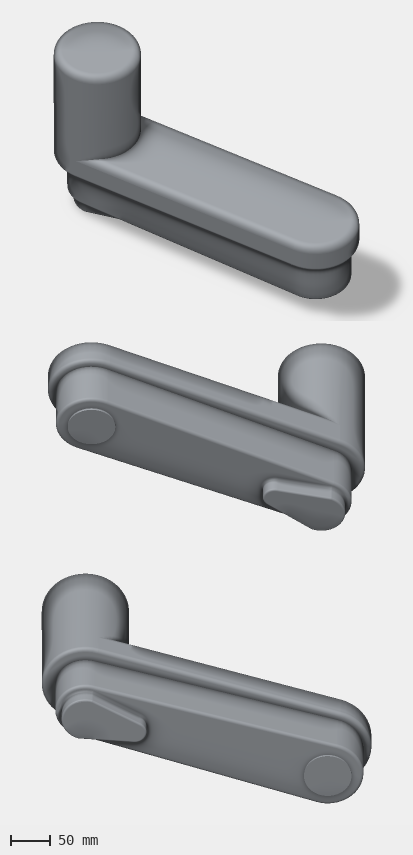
import cadquery as cq
import math

arm_reach = 320.0

cover_radius = 55.0
cover_bottom = 80.0
hood_top = 120.0
column_top = 260.0
cover_top_round = 10.0
cover_bottom_round = 5.0

arm_bottom = 20.0
arm_column_radius = 38.0
cover_overhang = 10.0
arm_far_radius = cover_radius - cover_overhang
arm_bottom_round = 4.0

foot_radius = 30.0
foot_tip_radius = 15.0
foot_tip_x = 65.0
foot_bottom_round = 2.5
foot_root_round = 3.0
foot_corner_round = 1.0

pad_radius = 30.0
pad_height = 3.0

select_margin = 0.1


def box_around(low_corner, high_corner):
    """Selector for the edges that lie wholly between two corners, with a little slack."""
    low = tuple(value - select_margin for value in low_corner)
    high = tuple(value + select_margin for value in high_corner)
    return cq.selectors.BoxSelector(low, high, boundingbox=True)


def tapered_slot(near_radius, far_x, far_radius, bottom, height):
    """Prism with a half circle at the origin and straight sides tangent to a round tip at far_x."""
    corner_angle = math.atan2(near_radius, -far_x)
    corner_distance = math.hypot(near_radius, far_x)
    touch_angle = corner_angle - math.acos(far_radius / corner_distance)
    touch_x = far_x + far_radius * math.cos(touch_angle)
    touch_y = far_radius * math.sin(touch_angle)
    return (
        cq.Workplane("XY")
        .workplane(offset=bottom)
        .moveTo(0, near_radius)
        .threePointArc((-near_radius, 0), (0, -near_radius))
        .lineTo(touch_x, -touch_y)
        .threePointArc((far_x + far_radius, 0), (touch_x, touch_y))
        .close()
        .extrude(height)
    )


def make_cover():
    hood = (
        cq.Workplane("XY")
        .workplane(offset=cover_bottom)
        .moveTo(0, -cover_radius)
        .lineTo(arm_reach, -cover_radius)
        .threePointArc((arm_reach + cover_radius, 0), (arm_reach, cover_radius))
        .lineTo(0, cover_radius)
        .close()
        .extrude(hood_top - cover_bottom)
        .faces(">Z")
        .edges("not <X")
        .fillet(cover_top_round)
    )
    column = (
        cq.Workplane("XY")
        .workplane(offset=cover_bottom)
        .circle(cover_radius)
        .extrude(column_top - cover_bottom)
        .faces(">Z")
        .edges()
        .fillet(cover_top_round)
    )
    return hood.union(column).faces("<Z").edges().fillet(cover_bottom_round)


def make_arm():
    body = (
        tapered_slot(arm_column_radius, arm_reach, arm_far_radius, arm_bottom, cover_bottom - arm_bottom)
        .faces("<Z")
        .edges()
        .fillet(arm_bottom_round)
    )
    foot_corners = box_around((0, -foot_radius, 0), (0, foot_radius, arm_bottom))
    foot = (
        tapered_slot(foot_radius, foot_tip_x, foot_tip_radius, 0, arm_bottom)
        .edges(foot_corners)
        .fillet(foot_corner_round)
        .faces("<Z")
        .edges()
        .fillet(foot_bottom_round)
    )
    pad = (
        cq.Workplane("XY")
        .workplane(offset=arm_bottom - pad_height)
        .center(arm_reach, 0)
        .circle(pad_radius)
        .extrude(pad_height)
    )
    foot_root = box_around(
        (-foot_radius, -foot_radius, arm_bottom),
        (foot_tip_x + foot_tip_radius, foot_radius, arm_bottom),
    )
    return body.union(foot).edges(foot_root).fillet(foot_root_round).union(pad)


cover = make_cover()
arm = make_arm()
result = cq.Compound.makeCompound([cover.val(), arm.val()])